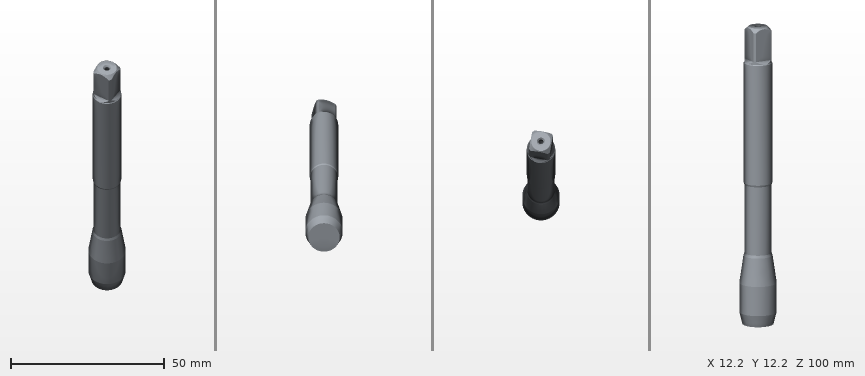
import cadquery as cq

total_length = 100.0

head_diameter = 12.2
tip_diameter = 10.2
lead_length = 4.0
head_length = 13.8

shank_diameter = 9.3
neck_diameter = 8.9
cone_top_diameter = 9.5
cone_top = 23.0
neck_bottom = 23.9
neck_top = 47.5
neck_taper_length = 0.6

square_width = 6.9
square_corner_diameter = 8.9
shoulder_top = 87.8
top_face_diameter = 6.3

centre_hole_diameter = 1.6
centre_mouth_diameter = 2.6
centre_hole_depth = 2.5

head_radius = head_diameter / 2
shank_radius = shank_diameter / 2
neck_radius = neck_diameter / 2
corner_radius = square_corner_diameter / 2
top_face_radius = top_face_diameter / 2
top_chamfer = corner_radius - top_face_radius
shoulder_chamfer = shank_radius - corner_radius


def turned(profile):
    """Revolve (radius, height) points around Z, starting on the axis and closing back onto it."""
    outline = cq.Workplane("XZ").polyline([*profile, (0, profile[-1][1])]).close()
    return outline.revolve(360, (0, 0, 0), (0, 1, 0))


def make_head():
    """Cutting head: tapered lead at the tip, then a plain cylinder."""
    return turned([
        (0, 0),
        (tip_diameter / 2, 0),
        (head_radius, lead_length),
        (head_radius, head_length),
    ])


def make_flat_cutter():
    """Material removed beside one flat, running out to the shank on a 45 degree ramp."""
    flat = square_width / 2
    outside = head_radius
    ramp_top = shoulder_top + shank_radius - flat
    ramp_outer_end = ramp_top - (outside - flat)
    return (
        cq.Workplane("XZ")
        .polyline([
            (flat, ramp_top),
            (outside, ramp_outer_end),
            (outside, total_length),
            (flat, total_length),
        ])
        .close()
        .extrude(head_radius, both=True)
    )


def make_centre_hole():
    """Centre drilling with a 45 degree countersink and a 45 degree conical bottom."""
    hole_radius = centre_hole_diameter / 2
    mouth_radius = centre_mouth_diameter / 2
    countersink_depth = mouth_radius - hole_radius
    hole_bottom = total_length - centre_hole_depth
    return turned([
        (0, hole_bottom - hole_radius),
        (hole_radius, hole_bottom),
        (hole_radius, total_length - countersink_depth),
        (mouth_radius, total_length),
    ])


def make_shank():
    """Shank: cone above the head, relieved neck, plain shank and driving square."""
    body = turned([
        (0, head_length),
        (head_radius, head_length),
        (cone_top_diameter / 2, cone_top),
        (neck_radius, neck_bottom),
        (neck_radius, neck_top - neck_taper_length),
        (shank_radius, neck_top),
        (shank_radius, shoulder_top),
        (corner_radius, shoulder_top + shoulder_chamfer),
        (corner_radius, total_length - top_chamfer),
        (top_face_radius, total_length),
    ])
    flat_cutter = make_flat_cutter()
    for side in range(4):
        body = body.cut(flat_cutter.rotate((0, 0, 0), (0, 0, 1), 90 * side))
    return body.cut(make_centre_hole())


head = make_head()
shank = make_shank()
result = cq.Compound.makeCompound([head.val(), shank.val()])